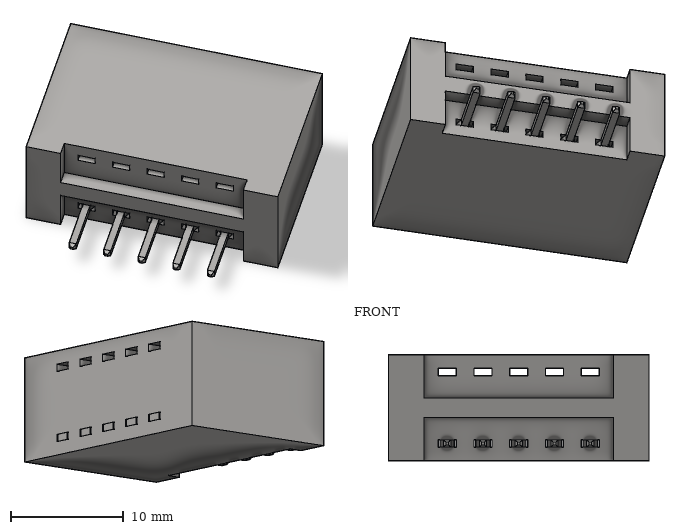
import cadquery as cq

housing_length = 23.1
housing_depth = 15.23
housing_height = 9.4

recess_length = 16.78
recess_depth = 1.25
rib_thickness = 1.7
recess_height = (housing_height - rib_thickness) / 2

slot_count = 5
slot_row_length = 12.69
slot_pitch = slot_row_length / (slot_count - 1)
slot_row_spacing = 6.33
slot_width = 1.57
slot_height = 0.65

pin_height = slot_height
shank_width = 0.65
blade_width = 1.3
shoulder_length = 0.7
pin_protrusion = 3.81
tip_length = 0.32
tip_width = 0.25

front_y = 0.0
rear_y = front_y + housing_depth
recess_floor_y = front_y + recess_depth
pin_end_y = front_y - pin_protrusion
lower_row_z = (housing_height - slot_row_spacing) / 2
upper_row_z = lower_row_z + slot_row_spacing
slot_positions = [-slot_row_length / 2 + i * slot_pitch for i in range(slot_count)]


def box(length, depth, height, x_center, y_start, z_start):
    """Box centred in X, starting at the given Y and Z."""
    return (
        cq.Workplane("XY")
        .box(length, depth, height, centered=(True, False, False))
        .translate((x_center, y_start, z_start))
    )


def make_housing():
    """Block with a front recess above and below the rib, and two rows of through slots."""
    body = box(housing_length, housing_depth, housing_height, 0, front_y, 0)
    for recess_bottom in (0, housing_height - recess_height):
        body = body.cut(box(recess_length, recess_depth, recess_height, 0, front_y, recess_bottom))

    slot_depth = housing_depth - recess_depth
    for row_z in (lower_row_z, upper_row_z):
        for x in slot_positions:
            slot_bottom = row_z - slot_height / 2
            body = body.cut(box(slot_width, slot_depth, slot_height, x, recess_floor_y, slot_bottom))
    return body


def make_pin(x):
    """Flat pin with a wide blade in the slot, sloped shoulders, a square shank and a tapered tip."""
    half_blade = blade_width / 2
    half_shank = shank_width / 2
    shank_end_y = pin_end_y + tip_length
    shoulder_end_y = recess_floor_y + shoulder_length
    body = (
        cq.Workplane("XY")
        .polyline([
            (-half_shank, shank_end_y),
            (half_shank, shank_end_y),
            (half_shank, recess_floor_y),
            (half_blade, shoulder_end_y),
            (half_blade, rear_y),
            (-half_blade, rear_y),
            (-half_blade, shoulder_end_y),
            (-half_shank, recess_floor_y),
        ])
        .close()
        .extrude(pin_height)
        .translate((0, 0, -pin_height / 2))
    )
    tip = (
        cq.Workplane("XZ", origin=(0, shank_end_y, 0))
        .rect(shank_width, pin_height)
        .workplane(offset=tip_length)
        .rect(tip_width, tip_width)
        .loft(ruled=True)
    )
    return body.union(tip).translate((x, 0, lower_row_z))


housing = make_housing()
pins = [make_pin(x) for x in slot_positions]

result = cq.Compound.makeCompound([housing.val(), *[pin.val() for pin in pins]])